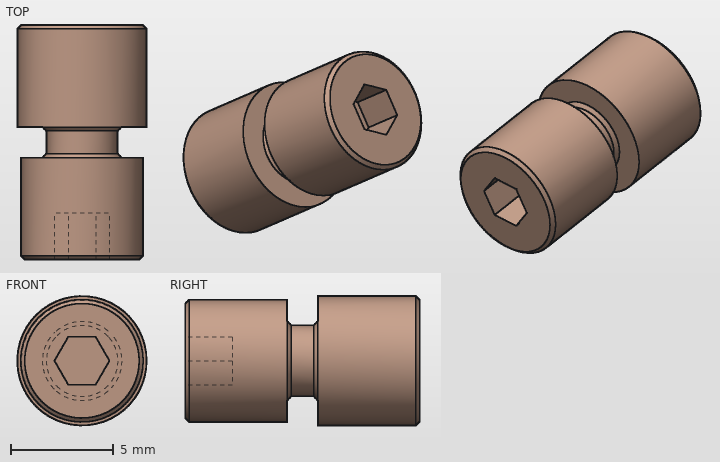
import cadquery as cq
import math

total_length = 11.5
section_length = 5.0
front_radius = 3.0
rear_radius = 3.17
neck_radius = 1.75
end_chamfer = 0.2
neck_flare = 0.2
hex_across_flats = 2.33
hex_depth = 2.3

front_face = -total_length / 2
rear_face = total_length / 2
front_shoulder = front_face + section_length
rear_shoulder = rear_face - section_length


def turned_body():
    """Revolve the half profile (radius, axial position) about the Y axis."""
    profile = [
        (0, front_face),
        (front_radius - end_chamfer, front_face),
        (front_radius, front_face + end_chamfer),
        (front_radius, front_shoulder),
        (neck_radius + neck_flare, front_shoulder),
        (neck_radius, front_shoulder + neck_flare),
        (neck_radius, rear_shoulder - neck_flare),
        (neck_radius + neck_flare, rear_shoulder),
        (rear_radius, rear_shoulder),
        (rear_radius, rear_face - end_chamfer),
        (rear_radius - end_chamfer, rear_face),
        (0, rear_face),
    ]
    return cq.Workplane("XY").polyline(profile).close().revolve(360, (0, 0), (0, 1))


def hex_socket():
    """Hexagonal socket in the front face, with two corners along X."""
    across_corners = hex_across_flats / math.cos(math.pi / 6)
    return (
        cq.Workplane("XZ", origin=(0, front_face, 0))
        .polygon(6, across_corners)
        .extrude(-hex_depth)
    )


result = turned_body().cut(hex_socket())